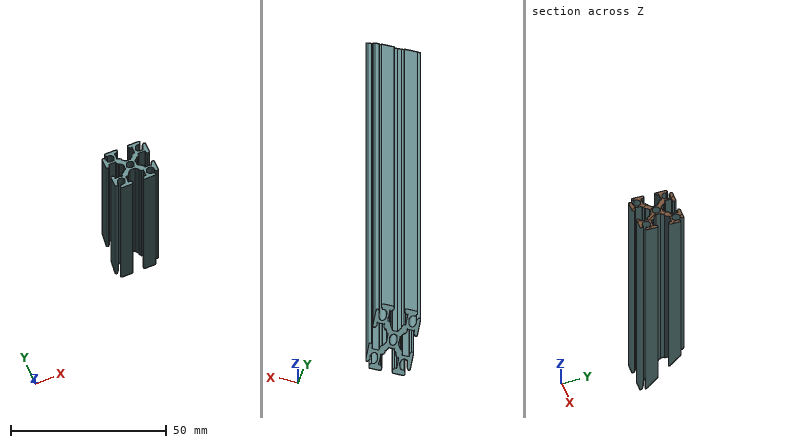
import cadquery as cq
import math

side = 15.0
length = 150.0
half_side = side / 2

channel_radius = 1.28
wall = 0.8

mouth_half = 1.8
cavity_half = 3.0
lip_thickness = 1.28
lip_chamfer = 0.52
ledge_height = 3.9
ledge_chamfer = 0.6
floor_half = 0.82
floor_height = channel_radius + wall

corner_channel_offset = cavity_half + wall + channel_radius
notch_depth = 1.42
gap_width = 1.0
gap_edge_radius = 0.3

outer_edge_radius = 0.5


def make_slot():
    """T-slot cutter opening towards +Y, with a narrowing groove at its floor."""
    lip_bottom = half_side - lip_thickness
    groove_top = floor_height + mouth_half - floor_half
    right_half = [
        (floor_half, floor_height),
        (mouth_half, groove_top),
        (mouth_half, ledge_height - ledge_chamfer),
        (mouth_half + ledge_chamfer, ledge_height),
        (cavity_half, ledge_height),
        (cavity_half, lip_bottom),
        (mouth_half + lip_chamfer, lip_bottom),
        (mouth_half, lip_bottom + lip_chamfer),
        (mouth_half, half_side),
    ]
    left_half = [(-x, y) for x, y in reversed(right_half)]
    return cq.Workplane("XY").polyline(right_half + left_half).close().extrude(length)


def make_channel(x, y):
    """Round cutter running the full length of the bar."""
    return cq.Workplane("XY").center(x, y).circle(channel_radius).extrude(length)


def make_corner():
    """Cutter for the +X +Y corner: notch, diagonal gap with rounded edges, and channel."""
    notch_inner = half_side - notch_depth
    notch_center = half_side - notch_depth / 2
    notch = (
        cq.Workplane("XY")
        .center(notch_center, notch_center)
        .rect(notch_depth, notch_depth)
        .extrude(length)
    )
    gap_length = (half_side - corner_channel_offset) * math.sqrt(2)
    gap = (
        cq.Workplane("XY")
        .center(gap_length / 2, 0)
        .rect(gap_length, gap_width)
        .extrude(length)
        .rotate((0, 0, 0), (0, 0, 1), 45)
        .translate((corner_channel_offset, corner_channel_offset, 0))
    )

    gap_edge_reach = notch_inner + gap_width / math.sqrt(2)
    opening = notch.union(gap)
    for x, y in [(notch_inner, gap_edge_reach), (gap_edge_reach, notch_inner)]:
        gap_edge = cq.selectors.NearestToPointSelector((x, y, length / 2))
        opening = opening.edges("|Z").edges(gap_edge).fillet(gap_edge_radius)
    return opening.union(make_channel(corner_channel_offset, corner_channel_offset))


def make_straight_bar():
    """Square-ended bar with its slots, corners and central channel, outer edges rounded."""
    bar = cq.Workplane("XY").rect(side, side).extrude(length)
    slot = make_slot()
    corner = make_corner()
    for angle in (0, 90, 180, 270):
        bar = bar.cut(slot.rotate((0, 0, 0), (0, 0, 1), angle))
        bar = bar.cut(corner.rotate((0, 0, 0), (0, 0, 1), angle))
    bar = bar.cut(make_channel(0, 0))
    return bar.edges("|Z and (>X or <X or >Y or <Y)").fillet(outer_edge_radius)


def make_mitred_block():
    """Block cut at 45 degrees at both ends, longest on its -Y side."""
    outline = [
        (-half_side, 0),
        (half_side, side),
        (half_side, length - side),
        (-half_side, length),
    ]
    return cq.Workplane("YZ").polyline(outline).close().extrude(half_side, both=True)


result = make_straight_bar().intersect(make_mitred_block())